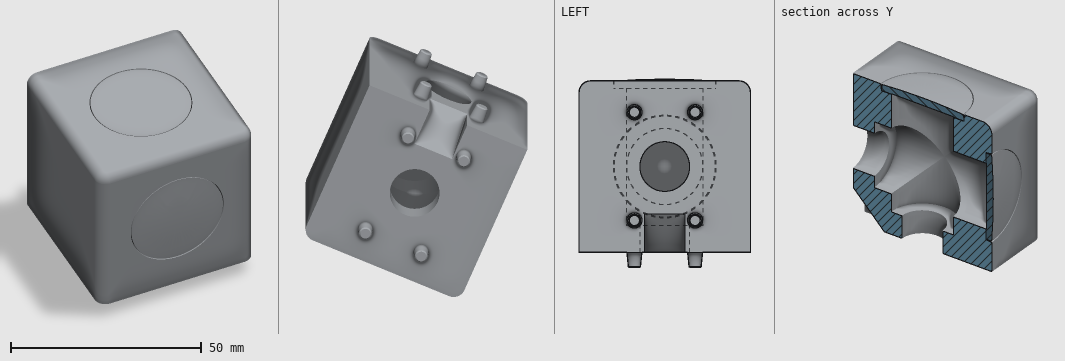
import cadquery as cq
import math

cube = 45.0
middle = cube / 2
edge_round = 3.05

entry_radius = 6.55
entry_depth = 7.0
bore_radius = 10.0

cap_radius = 13.25
cap_thickness = 2.0
cap_rise = 0.45
cap_edge_drop = 0.075

mouth_radius = 13.5
recess_floor = cube - cap_thickness

notch_width = 10.7
notch_leg = 10.1

peg_length = 4.0
peg_base_radius = 2.005
peg_tip_radius = 1.65
peg_tip_chamfer = 0.3
peg_edge_distance = 8.35
peg_pitch = 28.4
peg_pitch_across = 15.9


def swap_x_and_z(body):
    """Copy a body of the Z side to the X side: a half turn about the line x = z at mid-width."""
    return body.rotate((0, middle, 0), (0.5, middle, 0.5), 180)


def revolve_about_z(outline):
    """Close an outline drawn as (radius, height) and revolve it about the Z axis."""
    return outline.close().revolve(360, (0, 0, 0), (0, 1, 0))


def rounded_block():
    block = cq.Workplane("XY").box(cube, cube, cube, centered=False)
    top_side_edges = block.edges("|X and >Z")
    far_face_edges = block.faces(">X").edges("not <Z")
    return top_side_edges.add(far_face_edges).fillet(edge_round)


def stepped_bore():
    """Entry hole in the -Z face, the wider bore above it and the flared cap recess."""
    outline = (
        cq.Workplane("XZ")
        .lineTo(entry_radius, 0)
        .lineTo(entry_radius, entry_depth)
        .lineTo(bore_radius, entry_depth)
        .lineTo(bore_radius, recess_floor)
        .lineTo(cap_radius, recess_floor)
        .lineTo(mouth_radius, cube)
        .lineTo(0, cube)
    )
    return revolve_about_z(outline).translate((middle, middle, 0))


def notch():
    outline = cq.Workplane("XZ").polyline([(0, 0), (notch_leg, 0), (0, notch_leg)]).close()
    return outline.extrude(notch_width / 2, both=True).translate((0, middle, 0))


def peg():
    """One peg that hangs down from the origin and tapers to a chamfered tip."""
    outline = (
        cq.Workplane("XZ")
        .lineTo(peg_base_radius, 0)
        .lineTo(peg_tip_radius, peg_tip_chamfer - peg_length)
        .lineTo(peg_tip_radius - peg_tip_chamfer, -peg_length)
        .lineTo(0, -peg_length)
    )
    return revolve_about_z(outline)


def cap():
    """Disc with a flat back and a shallow spherical front, seated in the +Z recess."""
    apex = cube + cap_rise
    sag = cap_rise + cap_edge_drop
    dome_radius = (cap_radius**2 + sag**2) / (2 * sag)
    half_radius = cap_radius / 2
    half_radius_height = apex - dome_radius + math.sqrt(dome_radius**2 - half_radius**2)
    outline = (
        cq.Workplane("XZ")
        .moveTo(0, recess_floor)
        .lineTo(cap_radius, recess_floor)
        .lineTo(cap_radius, cube - cap_edge_drop)
        .threePointArc((half_radius, half_radius_height), (0, apex))
    )
    return revolve_about_z(outline).translate((middle, middle, 0))


housing = rounded_block().cut(notch())
bore = stepped_bore()
housing = housing.cut(bore).cut(swap_x_and_z(bore))
for peg_x in (peg_edge_distance, peg_edge_distance + peg_pitch):
    for side in (-1, 1):
        bottom_peg = peg().translate((peg_x, middle + side * peg_pitch_across / 2, 0))
        housing = housing.union(bottom_peg).union(swap_x_and_z(bottom_peg))

top_cap = cap()
side_cap = swap_x_and_z(top_cap)

result = cq.Compound.makeCompound([housing.solids().val(), top_cap.val(), side_cap.val()])